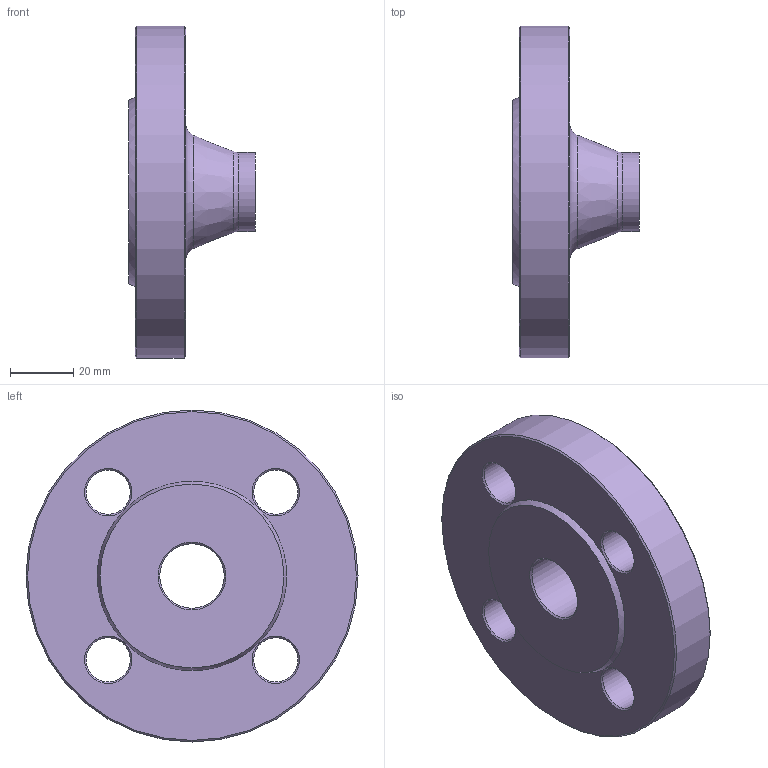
import cadquery as cq
import math


total_length = 40.0
raised_face_height = 2.0
plate_thickness = 16.0
plate_back = raised_face_height + plate_thickness

plate_diameter = 105.0
edge_chamfer = 0.5

raised_base_diameter = 60.0
raised_rim_angle = 25.0
raised_top_diameter = raised_base_diameter - 2 * raised_face_height * math.tan(math.radians(raised_rim_angle))

neck_base_diameter = 38.0
pipe_diameter = 25.0
pipe_end_length = 6.0
neck_end = total_length - pipe_end_length
neck_fillet = 4.0

bore_diameter = 20.4

bolt_circle_diameter = 75.0
bolt_hole_diameter = 14.0
bolt_hole_count = 4
first_bolt_angle = 45.0


def axial_cylinder(start, length, diameter):
    """Cylinder about the X axis."""
    return cq.Workplane("YZ", origin=(start, 0, 0)).circle(diameter / 2).extrude(length)


def make_plate():
    """Flange disc with both outer edges chamfered and the bolt holes chamfered at the front."""
    plate = axial_cylinder(raised_face_height, plate_thickness, plate_diameter)
    plate = plate.edges().chamfer(edge_chamfer)
    holes = (
        cq.Workplane("YZ", origin=(raised_face_height, 0, 0))
        .polarArray(bolt_circle_diameter / 2, first_bolt_angle, 360, bolt_hole_count)
        .circle(bolt_hole_diameter / 2)
        .extrude(plate_thickness)
    )
    plate = plate.cut(holes)
    hole_rims = plate.faces("<X").wires().edges(cq.selectors.RadiusNthSelector(0))
    return hole_rims.chamfer(edge_chamfer)


def make_raised_face():
    """Truncated cone that carries the sealing face."""
    profile = (
        cq.Workplane("XY")
        .lineTo(0, raised_top_diameter / 2)
        .lineTo(raised_face_height, raised_base_diameter / 2)
        .lineTo(raised_face_height, 0)
        .close()
    )
    return profile.revolve(360, (0, 0, 0), (1, 0, 0))


def make_neck():
    """Cone and pipe end, with the cone blended into the plate and into the pipe end."""
    cone_base_radius = neck_base_diameter / 2
    pipe_radius = pipe_diameter / 2
    cone_angle = math.atan2(cone_base_radius - pipe_radius, neck_end - plate_back)
    cone_cos = math.cos(cone_angle)
    cone_sin = math.sin(cone_angle)

    root_tangent = neck_fillet * math.tan((math.pi / 2 - cone_angle) / 2)
    pipe_tangent = neck_fillet * math.tan(cone_angle / 2)

    root_end = (plate_back + root_tangent * cone_cos, cone_base_radius - root_tangent * cone_sin)
    cone_end = (neck_end - pipe_tangent * cone_cos, pipe_radius + pipe_tangent * cone_sin)
    pipe_start = (neck_end + pipe_tangent, pipe_radius)

    profile = (
        cq.Workplane("XY")
        .moveTo(plate_back, 0)
        .lineTo(plate_back, cone_base_radius + root_tangent)
        .radiusArc(root_end, -neck_fillet)
        .lineTo(*cone_end)
        .radiusArc(pipe_start, -neck_fillet)
        .lineTo(total_length, pipe_radius)
        .lineTo(total_length, 0)
        .close()
    )
    return profile.revolve(360, (0, 0, 0), (1, 0, 0))


def cut_bore(body):
    """Through bore with a chamfer at the sealing face."""
    bored = body.cut(axial_cylinder(0, total_length, bore_diameter))
    bore_rim = bored.faces("<X").edges(cq.selectors.RadiusNthSelector(0))
    return bore_rim.chamfer(edge_chamfer)


body = make_plate().union(make_raised_face()).union(make_neck())
result = cut_bore(body)